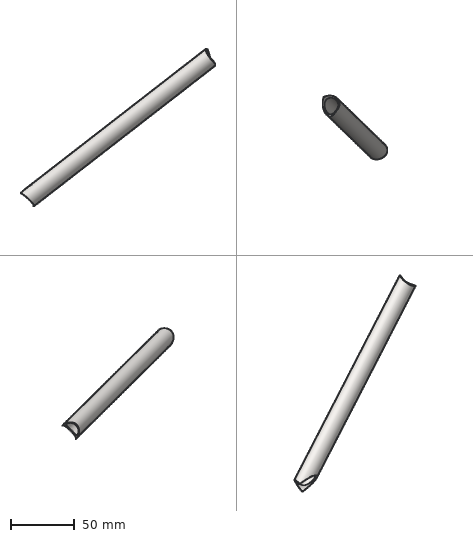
import cadquery as cq
outer_radius = 7.5
wall = 1.5
axis_run_x = 0.9285
axis_run_y = 0.9577
axis = cq.Vector(axis_run_x, axis_run_y, 1).normalized()

lower_cope_radius = outer_radius

contact_distance = 189.6614
upper_cope_radius = 16.0218
upper_lean_x = -0.2213
upper_lean_y = -0.2298
upper_side_offset = 0.6772

lower_overrun = 40.0
upper_overrun = 20.0
cutter_half_length = 60.0


def cutter(center, direction, radius):
    """A long cylinder centred on a point, for shaping a tube end."""
    start = center - direction * cutter_half_length
    plane = cq.Plane(origin=start, normal=direction)
    return cq.Workplane(plane).circle(radius).extrude(2 * cutter_half_length)


def straight_tube():
    """The tube before its ends are shaped, too long at both ends."""
    plane = cq.Plane(origin=axis * -lower_overrun, normal=axis)
    length = lower_overrun + contact_distance + upper_overrun
    inner_radius = outer_radius - wall
    return cq.Workplane(plane).circle(outer_radius).circle(inner_radius).extrude(length)


def lower_cope():
    """The tube along Y that the lower end fits over."""
    return cutter(cq.Vector(0, 0, 0), cq.Vector(0, 1, 0), lower_cope_radius)


def upper_cope():
    """The leaning tube that the upper end fits against."""
    direction = cq.Vector(upper_lean_x, upper_lean_y, 1).normalized()
    sideways = direction.cross(axis).normalized()
    outward = sideways.cross(direction)
    contact = axis * contact_distance
    center = contact + outward * upper_cope_radius + sideways * upper_side_offset
    return cutter(center, direction, upper_cope_radius)


def longest_piece(shape):
    """The tube itself, without the offcuts left beyond the two copes."""
    pieces = shape.solids().vals()
    return max(pieces, key=lambda piece: piece.Volume())


coped_tube = straight_tube().cut(lower_cope()).cut(upper_cope())
result = cq.Workplane(longest_piece(coped_tube))